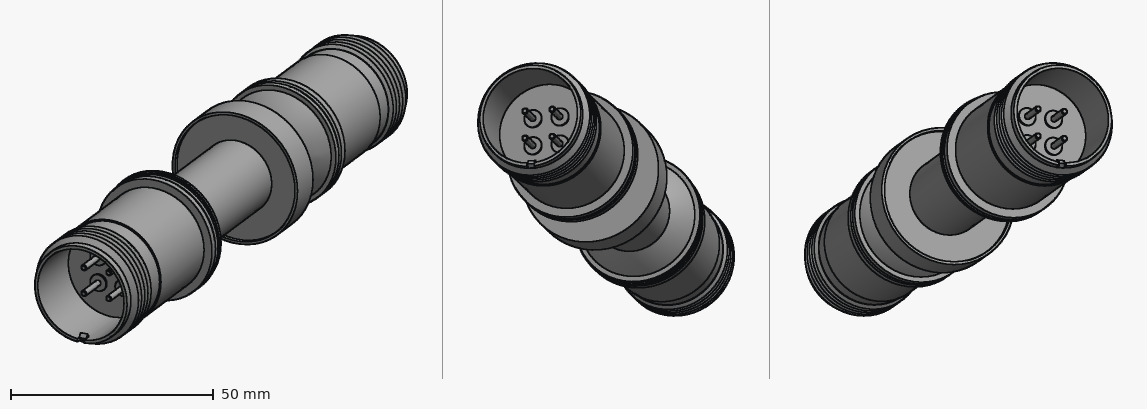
import cadquery as cq

TOTAL_LENGTH = 148.72
HALF_LENGTH = TOTAL_LENGTH / 2

STEM_RADIUS = 9.65
FLANGE_RADIUS = 34.85 / 2
FLANGE_START_Y = 7.4
FLANGE_THICKNESS = 8.2
RECESS_RADIUS = 16.7
RECESS_DEPTH = 1.1

RIM_RADIUS = 12.85
NECK_RADIUS = 13.4
BODY_RADIUS = 13.8
NECK_TO_BODY_DISTANCE = 16.2

FRONT_BODY_DROP = 0.42

THREAD_ROOT_RADIUS = 13.3
THREAD_CREST_RADIUS = 14.25
THREAD_PITCH = 1.68
THREAD_RIDGES = 5
FIRST_CREST_DISTANCE = 3.4
RIM_LENGTH = 2.0
LAST_ROOT_DISTANCE = FIRST_CREST_DISTANCE + (THREAD_RIDGES - 0.5) * THREAD_PITCH

COLLAR_RADIUS = 16.0
COLLAR_DISTANCE = 39.05
COLLAR_LENGTH = 4.85
COLLAR_END_DISTANCE = COLLAR_DISTANCE + COLLAR_LENGTH
PLATE_THICKNESS = 0.9
PLATE_DISTANCE = COLLAR_END_DISTANCE - PLATE_THICKNESS
GROOVE_RADIUS = 15.4
GROOVE_OFFSET = 1.9
GROOVE_WIDTH = 1.3
SHOULDER_RADIUS = 14.7
SHOULDER_LENGTH = 5.3
SHOULDER_BULGE = 0.3

BORE_RADIUS = 12.0
BORE_DEPTH = NECK_TO_BODY_DISTANCE
KEY_WIDTH = 1.9
SLOT_DEPTH = 1.7
KEY_HEIGHT = 1.0
KEY_NOSE_LENGTH = 0.8

PIN_SPACING = 6.9
PIN_RADIUS = 0.75
PIN_TIP_CHAMFER = 0.2
PIN_TIP_DISTANCE = 8.0
PIN_BASE_RADIUS = 2.2
PIN_BASE_HEIGHT = 0.5


def cylinder(radius, start_y, length, x=0, z=0):
    """Solid cylinder along +Y, starting at start_y."""
    plane = cq.Plane(origin=(x, start_y, z), xDir=(1, 0, 0), normal=(0, 1, 0))
    return cq.Workplane(plane).circle(radius).extrude(length)


def half_profile_point(radius, distance):
    """Point of a half profile, placed by its radius and its distance from the -Y end."""
    return (radius, distance - HALF_LENGTH)


def body_blank():
    """Outside of the connector body whose open end is at -Y, turned from its half profile."""
    groove_start = COLLAR_DISTANCE + GROOVE_OFFSET
    groove_end = groove_start + GROOVE_WIDTH
    corners = [(0, 0), (RIM_RADIUS, 0), (RIM_RADIUS, RIM_LENGTH)]
    for ridge in range(THREAD_RIDGES):
        crest = FIRST_CREST_DISTANCE + ridge * THREAD_PITCH
        corners.append((THREAD_CREST_RADIUS, crest))
        corners.append((THREAD_ROOT_RADIUS, crest + THREAD_PITCH / 2))
    corners += [
        (NECK_RADIUS, LAST_ROOT_DISTANCE),
        (NECK_RADIUS, NECK_TO_BODY_DISTANCE),
        (BODY_RADIUS, NECK_TO_BODY_DISTANCE),
        (BODY_RADIUS, COLLAR_DISTANCE),
        (COLLAR_RADIUS, COLLAR_DISTANCE),
        (COLLAR_RADIUS, groove_start),
        (GROOVE_RADIUS, (groove_start + groove_end) / 2),
        (COLLAR_RADIUS, groove_end),
        (COLLAR_RADIUS, PLATE_DISTANCE),
        (0, PLATE_DISTANCE),
    ]
    profile = cq.Workplane("XY").polyline([half_profile_point(*corner) for corner in corners])
    return profile.close().revolve(360, (0, 0, 0), (0, 1, 0))


def shoulder():
    """Inner plate of the -Y collar and the domed shoulder that narrows to the stem."""
    shoulder_end = COLLAR_END_DISTANCE + SHOULDER_LENGTH
    arc_middle = half_profile_point(
        (SHOULDER_RADIUS + STEM_RADIUS) / 2 + SHOULDER_BULGE,
        (COLLAR_END_DISTANCE + shoulder_end) / 2 + SHOULDER_BULGE,
    )
    return (
        cq.Workplane("XY")
        .moveTo(*half_profile_point(0, PLATE_DISTANCE))
        .lineTo(*half_profile_point(COLLAR_RADIUS, PLATE_DISTANCE))
        .lineTo(*half_profile_point(COLLAR_RADIUS, COLLAR_END_DISTANCE))
        .lineTo(*half_profile_point(SHOULDER_RADIUS, COLLAR_END_DISTANCE))
        .threePointArc(arc_middle, half_profile_point(STEM_RADIUS, shoulder_end))
        .lineTo(*half_profile_point(0, shoulder_end))
        .close()
        .revolve(360, (0, 0, 0), (0, 1, 0))
    )


def key_slot():
    """Cutter for the slot through the bottom of the rim wall."""
    return cq.Workplane("XY").box(
        KEY_WIDTH, SLOT_DEPTH, THREAD_CREST_RADIUS, centered=(True, False, False)
    ).translate((0, -HALF_LENGTH, -THREAD_CREST_RADIUS))


def pointed_key():
    """Wedge at the inner end of the slot, its nose pointing to the open end."""
    base_y = SLOT_DEPTH - HALF_LENGTH
    return (
        cq.Workplane("YZ", origin=(-KEY_WIDTH / 2, 0, 0))
        .moveTo(base_y, -RIM_RADIUS)
        .lineTo(base_y - KEY_NOSE_LENGTH, -BORE_RADIUS)
        .lineTo(base_y, KEY_HEIGHT - BORE_RADIUS)
        .lineTo(base_y + KEY_NOSE_LENGTH, -BORE_RADIUS)
        .lineTo(base_y + KEY_NOSE_LENGTH, -RIM_RADIUS)
        .close()
        .extrude(KEY_WIDTH)
    )


def contact_pins():
    """Four pins with chamfered tips, each on a low round base standing on the socket floor."""
    floor_y = BORE_DEPTH - HALF_LENGTH
    tip_y = PIN_TIP_DISTANCE - HALF_LENGTH
    pins = cq.Workplane("XY")
    for x in (-PIN_SPACING / 2, PIN_SPACING / 2):
        for z in (-PIN_SPACING / 2, PIN_SPACING / 2):
            pin = cylinder(PIN_RADIUS, tip_y, floor_y - tip_y, x, z)
            pin = pin.faces("<Y").chamfer(PIN_TIP_CHAMFER)
            base = cylinder(PIN_BASE_RADIUS, floor_y - PIN_BASE_HEIGHT, PIN_BASE_HEIGHT, x, z)
            pins = pins.union(pin).union(base)
    return pins


def connector_body():
    """Complete connector body with its open end at -Y, on the Y axis."""
    body = body_blank().cut(cylinder(BORE_RADIUS, -HALF_LENGTH, BORE_DEPTH))
    body = body.cut(key_slot())
    return body.union(pointed_key()).union(contact_pins())


def flange():
    """Flange with a shallow recess in its -Y face."""
    disc = cylinder(FLANGE_RADIUS, FLANGE_START_Y, FLANGE_THICKNESS)
    return disc.cut(cylinder(RECESS_RADIUS, FLANGE_START_Y, RECESS_DEPTH))


front_body = connector_body().translate((0, 0, -FRONT_BODY_DROP))
back_body = connector_body().mirror("XZ")
front_shoulder = shoulder()
back_shoulder = front_shoulder.mirror("XZ")
stem_half_length = HALF_LENGTH - COLLAR_END_DISTANCE
stem = cylinder(STEM_RADIUS, -stem_half_length, 2 * stem_half_length)

result = (
    flange()
    .union(stem)
    .union(front_shoulder)
    .union(back_shoulder)
    .union(front_body)
    .union(back_body)
)